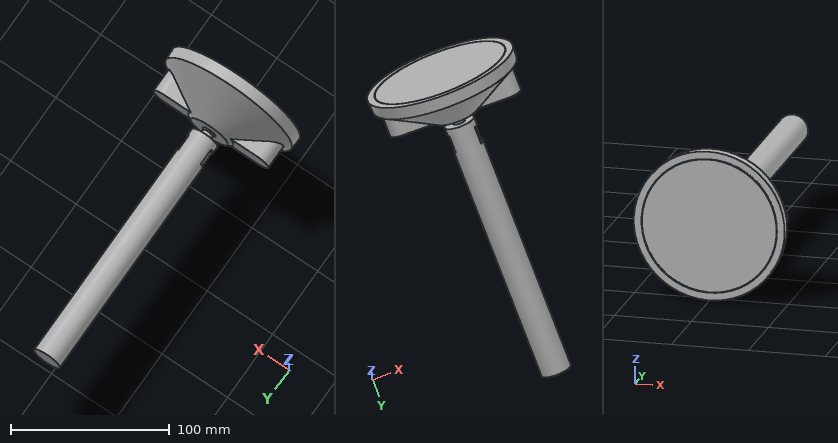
import cadquery as cq
import math

total_length = 210.0

foot_diameter = 98.0
rim_top_diameter = 97.0
rim_height = 8.5
cover_top_diameter = 28.5
foot_height = 30.0

pad_diameter = 87.5
pad_recess_diameter = 88.0
groove_depth = 1.0

bar_length = 88.0
bar_width = 16.8
bar_top = 28.1

neck_diameter = 7.8
neck_start = 31.0
flare_diameter = 12.5
flare_slope = math.radians(45)
stem_diameter = 20.0
stem_start = 34.9

flat_start = 40.1
flat_end = 51.5
across_flats = 17.0


def cross_section(height):
    """Workplane across the axis at the given Y, with local x along X and normal along +Y."""
    return cq.Workplane("ZX", origin=(0, height, 0)).transformed(rotate=(0, 0, 90))


def make_turned_body():
    neck_radius = neck_diameter / 2
    flare_radius = flare_diameter / 2
    flare_start = neck_start - (flare_radius - neck_radius) / math.tan(flare_slope)
    foot = (
        cq.Workplane("XY")
        .polyline([
            (0, 0),
            (foot_diameter / 2, 0),
            (rim_top_diameter / 2, rim_height),
            (cover_top_diameter / 2, foot_height),
            (0, foot_height),
        ])
        .close()
        .revolve(360, (0, 0, 0), (0, 1, 0))
    )
    stem = (
        cq.Workplane("XY")
        .polyline([
            (0, flare_start),
            (flare_radius, flare_start),
            (neck_radius, neck_start),
            (neck_radius, stem_start),
            (stem_diameter / 2, stem_start),
            (stem_diameter / 2, total_length),
            (0, total_length),
        ])
        .close()
        .revolve(360, (0, 0, 0), (0, 1, 0))
    )
    return foot.union(stem)


def make_bar():
    return cross_section(rim_height).slot2D(bar_length, bar_width).extrude(bar_top - rim_height)


def make_sole_groove():
    return (
        cross_section(0)
        .circle(pad_recess_diameter / 2)
        .circle(pad_diameter / 2)
        .extrude(groove_depth)
    )


def make_flat_cutter():
    flat_length = flat_end - flat_start
    block = cross_section(flat_start).rect(2 * stem_diameter, 2 * stem_diameter).extrude(flat_length)
    core = cross_section(flat_start).rect(across_flats, 2 * stem_diameter).extrude(flat_length)
    return block.cut(core)


result = (
    make_turned_body()
    .union(make_bar())
    .cut(make_sole_groove())
    .cut(make_flat_cutter())
)